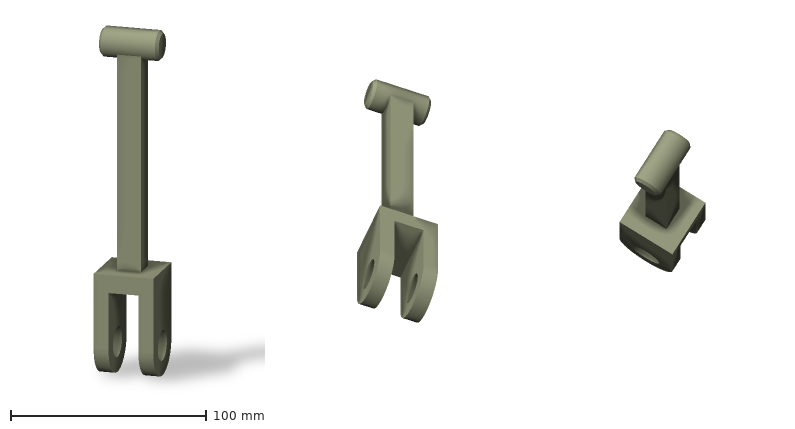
import cadquery as cq

fork_width = 32.0
fork_height = 56.0
fork_end_radius = fork_width / 2
slot_width = 16.0
bridge_thickness = 9.6
eye_diameter = 16.0

bar_width = 12.8
overall_height = 184.0
pin_diameter = 16.0
pin_length = 32.0
pin_chamfer = 1.6

fork_top = fork_height - fork_end_radius
slot_top = fork_top - bridge_thickness
pin_axis = overall_height - fork_end_radius - pin_diameter / 2


def make_fork():
    """Clevis with rounded, bored ears and a slot open at the bottom."""
    half_width = fork_width / 2
    body = (
        cq.Workplane("YZ")
        .moveTo(-half_width, 0)
        .lineTo(-half_width, fork_top)
        .lineTo(half_width, fork_top)
        .lineTo(half_width, 0)
        .threePointArc((0, -fork_end_radius), (-half_width, 0))
        .close()
        .extrude(half_width, both=True)
    )
    eye = cq.Workplane("YZ").circle(eye_diameter / 2).extrude(half_width, both=True)
    slot = (
        cq.Workplane("XY")
        .workplane(offset=-fork_end_radius)
        .rect(slot_width, fork_width)
        .extrude(slot_top + fork_end_radius)
    )
    return body.cut(eye).cut(slot)


def make_bar():
    """Square bar from the fork bridge to the pin axis."""
    return (
        cq.Workplane("XY")
        .workplane(offset=fork_top)
        .rect(bar_width, bar_width)
        .extrude(pin_axis - fork_top)
    )


def make_pin():
    """Cross pin along X with chamfered ends."""
    return (
        cq.Workplane("YZ")
        .workplane(offset=-pin_length / 2)
        .center(0, pin_axis)
        .circle(pin_diameter / 2)
        .extrude(pin_length)
        .faces("<X or >X")
        .chamfer(pin_chamfer)
    )


result = make_fork().union(make_bar()).union(make_pin())